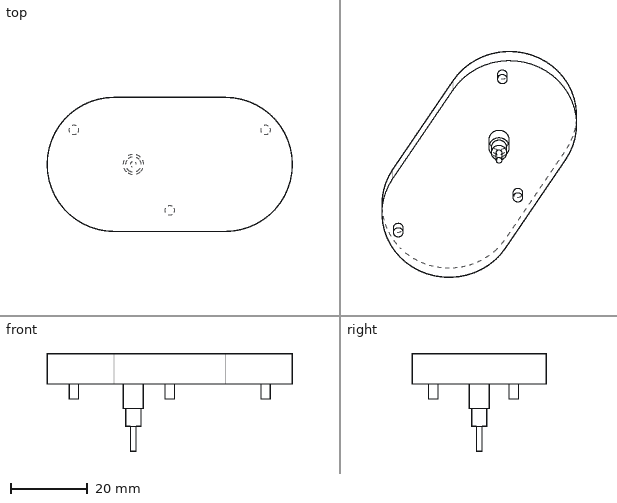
import cadquery as cq

body_length = 64.04
body_width = 35.06
body_height = 8.0

locating_pin_diameter = 2.5
locating_pin_length = 3.9
end_pin_x = 25.0
end_pin_y = 9.0
front_pin_y = -12.0

overall_height = 25.5
stem_x = -9.5
collar_diameter = 5.3
collar_length = 6.4
sleeve_diameter = 4.0
sleeve_length = 4.6
contact_diameter = 1.5
contact_length = overall_height - body_height - collar_length - sleeve_length


def cylinder_down(x, y, top_z, diameter, length):
    """Vertical cylinder hanging down from top_z."""
    return cq.Workplane("XY", origin=(x, y, top_z)).circle(diameter / 2).extrude(-length)


def make_body():
    return cq.Workplane("XY").slot2D(body_length, body_width).extrude(body_height)


def add_locating_pins(part):
    positions = ((-end_pin_x, end_pin_y), (0, front_pin_y), (end_pin_x, end_pin_y))
    for x, y in positions:
        part = part.union(cylinder_down(x, y, 0, locating_pin_diameter, locating_pin_length))
    return part


def add_stem(part):
    top_z = 0
    steps = (
        (collar_diameter, collar_length),
        (sleeve_diameter, sleeve_length),
        (contact_diameter, contact_length),
    )
    for diameter, length in steps:
        part = part.union(cylinder_down(stem_x, 0, top_z, diameter, length))
        top_z -= length
    return part


result = add_stem(add_locating_pins(make_body()))